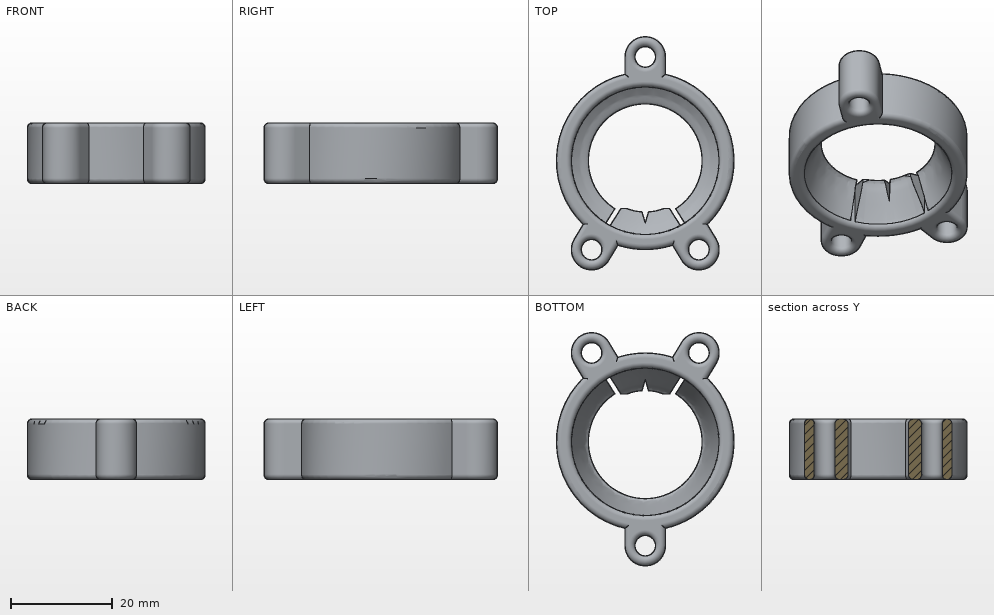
import cadquery as cq
import math

HEIGHT = 12.0
RING_OUTER_R = 17.5
RING_BORE_R = 14.5

LUG_R = 4.0
LUG_HOLE_D = 4.0
LUG_HOLE_R = LUG_HOLE_D / 2
EDGE_R = (LUG_R - LUG_HOLE_R) / 2
EYELET_CROWN_R = (LUG_R + LUG_HOLE_R) / 2
LUG_PITCH_R = 20.45
LOWER_LUG_TILT = 31.1
LUG_ANGLES = (90, 270 - LOWER_LUG_TILT, 270 + LOWER_LUG_TILT)

LINING_TOP_Z = HEIGHT - EDGE_R
LINING_BOTTOM_Z = EDGE_R
LIP_THICKNESS = 1.4
LIP_REACH = 1.2
TOP_DIRECTION = (-1, -0.8)
UNDERSIDE_DIRECTION = (0.4, -1)
CUP_LIP_R = 11.15
CUP_LIP_Z = HEIGHT - 2.3
CUP_LIP_DIRECTION = (-1, -0.3)
TAB_LIP_R = 10.05
TAB_LIP_Z = HEIGHT - 2.7
TAB_LIP_DIRECTION = (-1, -0.5)

SLOT_TILT = 32.3
SLOT_WIDTH = 0.95

TAB_CORNER_Y = -9.35
NOTCH_WIDTH = 1.25
NOTCH_TIP_R = 12.2


def place_lug(shape, angle):
    """Move a shape modelled about the Z axis onto the lug hole at the given angle."""
    return shape.translate((LUG_PITCH_R, 0, 0)).rotate((0, 0, 0), (0, 0, 1), angle)


def lug_neck():
    """Straight-sided block from the lug hole axis to the ring axis."""
    return (
        cq.Workplane("XY")
        .rect(LUG_PITCH_R, 2 * LUG_R)
        .extrude(HEIGHT)
        .translate((-LUG_PITCH_R / 2, 0, 0))
    )


def eyelet():
    """Tube around the lug hole whose wall is fully rounded at both ends."""
    return (
        cq.Workplane("XZ")
        .moveTo(LUG_HOLE_R, EDGE_R)
        .lineTo(LUG_HOLE_R, HEIGHT - EDGE_R)
        .threePointArc((EYELET_CROWN_R, HEIGHT), (LUG_R, HEIGHT - EDGE_R))
        .lineTo(LUG_R, EDGE_R)
        .threePointArc((EYELET_CROWN_R, 0), (LUG_HOLE_R, EDGE_R))
        .close()
        .revolve(360, (0, 0, 0), (0, 1, 0))
    )


def is_neck_end(edge):
    """True for a straight edge that crosses a lug hole axis."""
    centre = edge.Center()
    at_axis = math.isclose(math.hypot(centre.x, centre.y), LUG_PITCH_R, abs_tol=0.005)
    return edge.geomType() == "LINE" and at_axis


def make_housing():
    body = cq.Workplane("XY").circle(RING_OUTER_R).extrude(HEIGHT)
    for angle in LUG_ANGLES:
        body = body.union(place_lug(lug_neck(), angle))
    bore = cq.Workplane("XY").circle(RING_BORE_R).extrude(HEIGHT)
    body = body.cut(bore)
    rounded_edges = body.faces("<Z or >Z").edges().filter(lambda edge: not is_neck_end(edge))
    body = rounded_edges.fillet(EDGE_R)
    eyelet_room = cq.Workplane("XY").circle(EYELET_CROWN_R).extrude(HEIGHT)
    for angle in LUG_ANGLES:
        body = body.cut(place_lug(eyelet_room, angle)).union(place_lug(eyelet(), angle))
    return body


def lining(lip_r, lip_z, lip_direction):
    """Full ring that lines the bore wall and swells smoothly to a rounded lip."""
    return (
        cq.Workplane("XZ")
        .moveTo(RING_BORE_R, LINING_BOTTOM_Z)
        .lineTo(RING_BORE_R, LINING_TOP_Z)
        .spline(
            [
                (lip_r + LIP_REACH, lip_z),
                (lip_r, lip_z - LIP_THICKNESS / 2),
                (lip_r + LIP_REACH / 2, lip_z - LIP_THICKNESS),
                (RING_BORE_R, LINING_BOTTOM_Z),
            ],
            tangents=[TOP_DIRECTION, lip_direction, (0, -1), UNDERSIDE_DIRECTION, UNDERSIDE_DIRECTION],
            includeCurrent=True,
        )
        .close()
        .revolve(360, (0, 0, 0), (0, 1, 0))
    )


def sector(inset):
    """Upright wedge about -Y between the slot radii, each side moved inward by the inset."""
    tilt = math.radians(SLOT_TILT)
    reach = 2 * RING_OUTER_R
    tip_y = -inset / math.sin(tilt)
    half_width = reach * math.tan(tilt)
    return (
        cq.Workplane("XY")
        .polyline([(0, tip_y), (half_width, tip_y - reach), (-half_width, tip_y - reach)])
        .close()
        .extrude(HEIGHT)
    )


def make_cup():
    return lining(CUP_LIP_R, CUP_LIP_Z, CUP_LIP_DIRECTION).cut(sector(0))


def make_tab():
    corner_cut = (
        cq.Workplane("XY")
        .rect(2 * RING_OUTER_R, 2 * abs(TAB_CORNER_Y))
        .extrude(HEIGHT)
    )
    notch_depth = NOTCH_TIP_R - TAB_LIP_R
    notch = (
        cq.Workplane("XY")
        .polyline([
            (0, -NOTCH_TIP_R),
            (NOTCH_WIDTH, 2 * notch_depth - NOTCH_TIP_R),
            (-NOTCH_WIDTH, 2 * notch_depth - NOTCH_TIP_R),
        ])
        .close()
        .extrude(HEIGHT)
    )
    tab_ring = lining(TAB_LIP_R, TAB_LIP_Z, TAB_LIP_DIRECTION)
    return tab_ring.intersect(sector(SLOT_WIDTH)).cut(corner_cut).cut(notch)


housing = make_housing()
cup = make_cup()
tab = make_tab()

result = cq.Compound.makeCompound([body.solids().val() for body in (housing, cup, tab)])